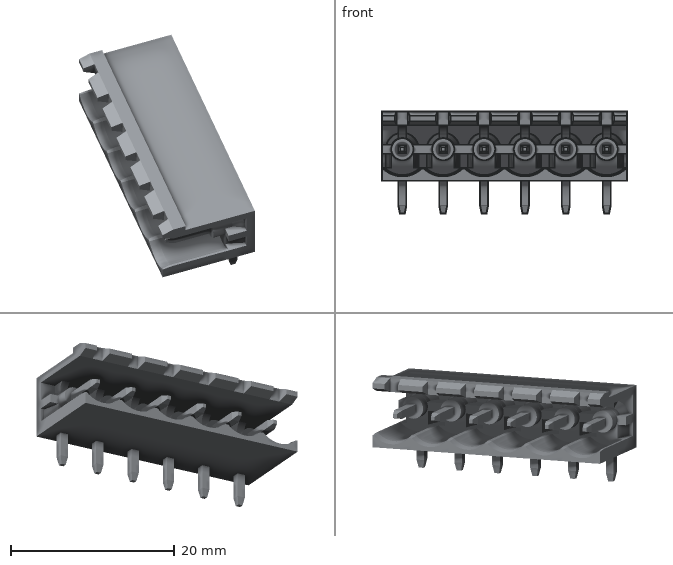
import cadquery as cq


length = 30
pin_count = 6
pitch = length / pin_count
pin_positions = [(i + 0.5) * pitch for i in range(pin_count)]

depth = 12
housing_top = 7.77
back_wall = 1.08
floor_top = 1.62
ceiling = 6.78
floor_bevel_depth = 10.83
floor_bevel_drop = 0.15

lip_depth = 9
lip_top = 8.5
lip_taper_depth = 10.65
lip_nose_top = 7.98
lip_nose_bottom = 7.32
notch_back_width = 1.38
notch_front_width = 1.8

axis_height = 3.87
shelf_thickness = 1.08
shelf_depth = 3.42
post_radius = 1.38
collar_radius = 1.35
collar_end = 4.98
boss_base_radius = 2.0
boss_taper_end = 2.43
post_mid_depth = 2.35
post_mid_half_width = 1.62
rib_flare = 0.5
rib_flare_bottom = 5.8

trough_radius = 3.15
trough_front_radius = 3.33

pin_width = 1.02
pin_taper = 1.02
contact_end = 10.83
contact_tip_width = 0.48
tail_depth = 2.05
tail_end = -4.02
tail_tip_width = 0.6


def side_plane(x):
    """Plane across the row at x; local X is depth and local Y is height."""
    return cq.Plane(origin=(x, 0, 0), xDir=(0, -1, 0), normal=(-1, 0, 0))


def depth_plane(x, z, distance):
    """Plane facing forward at a depth; local X is X and local Y is Z."""
    return cq.Plane(origin=(x, -distance, z), xDir=(1, 0, 0), normal=(0, -1, 0))


def along_row(points):
    """Prism of a (depth, height) outline over the whole row."""
    return cq.Workplane(side_plane(length)).polyline(points).close().extrude(length)


def cylinder(x, start, end, radius):
    return cq.Workplane(depth_plane(x, axis_height, start)).circle(radius).extrude(end - start)


def cone(x, start, end, start_radius, end_radius):
    return (
        cq.Workplane(depth_plane(x, axis_height, start))
        .circle(start_radius)
        .workplane(offset=end - start)
        .circle(end_radius)
        .loft()
    )


def make_floor():
    floor = along_row([
        (0, 0),
        (depth, 0),
        (depth, floor_top - floor_bevel_drop),
        (floor_bevel_depth, floor_top),
        (0, floor_top),
    ])
    for x in pin_positions:
        floor = floor.cut(cylinder(x, shelf_depth, floor_bevel_depth, trough_radius))
        floor = floor.cut(cone(x, floor_bevel_depth, depth, trough_radius, trough_front_radius))
    return floor


def make_walls_and_shelf():
    """Back wall, top wall with its latch lip, and the shelf carrying the contacts."""
    shelf_bottom = axis_height - shelf_thickness / 2
    shelf_top = axis_height + shelf_thickness / 2
    walls = along_row([
        (0, 0),
        (back_wall, 0),
        (back_wall, shelf_bottom),
        (shelf_depth, shelf_bottom),
        (shelf_depth, shelf_top),
        (back_wall, shelf_top),
        (back_wall, ceiling),
        (lip_taper_depth, ceiling),
        (depth, lip_nose_bottom),
        (depth, lip_nose_top),
        (lip_taper_depth, lip_top),
        (lip_depth, lip_top),
        (lip_depth, housing_top),
        (0, housing_top),
    ])
    for x in pin_positions:
        walls = walls.cut(make_notch(x))
    return walls


def make_notch(x):
    """Gap in the tapered front of the lip, widening toward the front."""
    return (
        cq.Workplane("XY", origin=(x, 0, ceiling))
        .polyline([
            (-notch_back_width / 2, -lip_taper_depth),
            (notch_back_width / 2, -lip_taper_depth),
            (notch_front_width / 2, -depth),
            (-notch_front_width / 2, -depth),
        ])
        .close()
        .extrude(lip_top - ceiling)
    )


def make_post(x):
    """Support between floor and contact axis, narrowing toward the front."""
    right_edge = [
        (boss_base_radius, -back_wall),
        (post_mid_half_width, -post_mid_depth),
        (post_radius, -shelf_depth),
    ]
    left_edge = [(-half_width, y) for half_width, y in reversed(right_edge)]
    return (
        cq.Workplane("XY", origin=(x, 0, floor_top))
        .polyline(right_edge + left_edge)
        .close()
        .extrude(axis_height - floor_top)
    )


def make_boss(x):
    """Upper half of the tapered boss, with the full round collar in front of it."""
    upper_half = cq.Workplane("XY", origin=(x, 0, axis_height)).box(
        pitch, 2 * depth, boss_base_radius, centered=(True, True, False))
    taper = cone(x, back_wall, boss_taper_end, boss_base_radius, post_radius)
    barrel = cylinder(x, boss_taper_end, shelf_depth, post_radius)
    collar = cylinder(x, shelf_depth, collar_end, collar_radius)
    return taper.union(barrel).intersect(upper_half).union(collar)


def make_rib(x):
    """Web from the boss to the ceiling, flaring forward where it meets the ceiling."""
    return (
        cq.Workplane(side_plane(x + pin_width / 2))
        .moveTo(0, axis_height)
        .lineTo(boss_taper_end, axis_height)
        .lineTo(boss_taper_end, rib_flare_bottom)
        .tangentArcPoint((boss_taper_end + rib_flare, ceiling), relative=False)
        .lineTo(0, ceiling)
        .close()
        .extrude(pin_width)
    )


def make_pin(plane, pin_length, tip_width):
    """Square pin along the plane normal, ending in a tapered tip."""
    shank_length = pin_length - pin_taper
    shank = cq.Workplane(plane).rect(pin_width, pin_width).extrude(shank_length)
    tip = (
        cq.Workplane(plane)
        .workplane(offset=shank_length)
        .rect(pin_width, pin_width)
        .workplane(offset=pin_taper)
        .rect(tip_width, tip_width)
        .loft()
    )
    return shank.union(tip)


def make_contact(x):
    """Mating pin toward the front and solder tail downward."""
    mating_plane = depth_plane(x, axis_height, tail_depth)
    tail_plane = cq.Plane(origin=(x, -tail_depth, axis_height), xDir=(1, 0, 0), normal=(0, 0, -1))
    mating_pin = make_pin(mating_plane, contact_end - tail_depth, contact_tip_width)
    tail = make_pin(tail_plane, axis_height - tail_end, tail_tip_width)
    return mating_pin.union(tail)


result = make_floor().union(make_walls_and_shelf())
for pin_x in pin_positions:
    for make_feature in (make_post, make_boss, make_rib, make_contact):
        result = result.union(make_feature(pin_x))